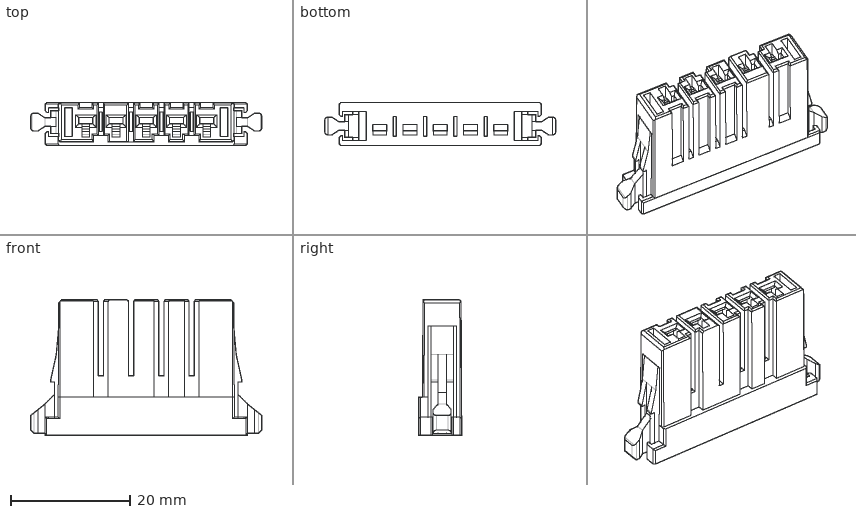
import cadquery as cq

overall_length = 38.77
height = 22.8
back_y = 3.625
front_y = -3.625
draft_angle = 0.3

body_half_length = 14.8
body_front_y = -3.02
base_height = 6.45
corner_chamfer = 0.3
top_chamfer_width = 0.35
top_chamfer_height = 0.25
end_rim_x = 14.2
end_chamfer_height = 0.65

pitch = 5.08
cell_xs = [pitch * i for i in (-2, -1, 0, 1, 2)]
slot_xs = [pitch * i for i in (-1.5, -0.5, 0.5, 1.5)]
slot_width = 0.8
slot_floor = 10.05
slot_hole_width = 0.45
slot_hole_back_y = 2.0
slot_hole_front_y = -1.25

front_groove_xs = [slot_xs[i] for i in (0, 2, 3)]
front_groove_width = 2.45
front_groove_y = -1.9
back_groove_xs = [cell_xs[i] for i in (0, 2, 3, 4)]
back_groove_width = 2.1
back_groove_y = 2.8

hole_width = 2.3
hole_back_y = 1.1
hole_front_y = 0.08
lip_height = 0.43
chamber_back_y = 1.85
funnel_width = 3.4
funnel_back_y = 1.55
funnel_front_y = -0.55
funnel_depth = 0.45
trough_width = 1.3
trough_front_y = -2.17
trough_bands = 5
trough_depth = 2.33
trough_drop = 0.08
trough_slope_drop = 0.15
trough_end_drop = 0.25

latch_y = 0.33
latch_window_width = 4.8
latch_window_top = 18.35
tongue_width = 3.85
latch_slot_outer_x = 13.65
latch_slot_inner_x = 12.45
tongue_knee_x = 15.12
tongue_knee_z = 13.57
tongue_top_x = 14.7
tongue_foot_x = 15.43
barb_x = 16.05
barb_tip_z = 9.3
barb_bottom_z = 8.95

lever_width = 1.47
lever_top_z = 7.17
lever_neck_x = 17.02
lever_neck_z = 5.27
lever_end_x = overall_length / 2
lever_end_z = 3.53
lever_bottom_z = 0.35
head_width = 3.02
head_shoulder_x = 18.2
head_corner = 0.55
head_top_chamfer = 0.2

wing_x = 17.0
wing_height = 3.1
wing_chamfer = 0.27
hook_thickness = 0.62
hook_opening = 3.2
hook_chamfer = 0.3


def box(x_low, x_high, y_low, y_high, z_low, z_high):
    """Block between two corners."""
    block = cq.Workplane("XY").box(x_high - x_low, y_high - y_low, z_high - z_low, centered=False)
    return block.translate((x_low, y_low, z_low))


def centred_box(x, width, y_low, y_high, z_low, z_high):
    """Block of a given width centred on x."""
    return box(x - width / 2, x + width / 2, y_low, y_high, z_low, z_high)


def drafted_block(half_length, y_low, y_high, block_height, chamfer):
    """Upright block with chamfered corners whose walls lean inwards by the draft angle."""
    corner_x = half_length - chamfer
    plan = [
        (-half_length, y_low + chamfer),
        (-corner_x, y_low),
        (corner_x, y_low),
        (half_length, y_low + chamfer),
        (half_length, y_high - chamfer),
        (corner_x, y_high),
        (-corner_x, y_high),
        (-half_length, y_high - chamfer),
    ]
    return cq.Workplane("XY").polyline(plan).close().extrude(block_height, taper=draft_angle)


def profile_along_y(points, width):
    """Extrude an XZ outline along Y, centred on the latch."""
    solid = cq.Workplane("XZ").polyline(points).close().extrude(width / 2, both=True)
    return solid.translate((0, latch_y, 0))


def back_groove_cutter(x, width):
    """Cutter open at the top and back, with a floor that slopes down to the back."""
    drop = back_y - back_groove_y
    points = [
        (back_groove_y, slot_floor),
        (back_y, slot_floor - drop),
        (back_y, height),
        (back_groove_y, height),
    ]
    cutter = cq.Workplane("YZ").polyline(points).close().extrude(width)
    return cutter.translate((x - width / 2, 0, 0))


def make_towers():
    """Upper housing split into five towers, with all top rims chamfered but the front of the second."""
    body = drafted_block(body_half_length, body_front_y, back_y, height, corner_chamfer)
    for x in slot_xs:
        body = body.cut(centred_box(x, slot_width, front_y, back_y, slot_floor, height))
        body = body.cut(back_groove_cutter(x, slot_width))
    for x in front_groove_xs:
        body = body.cut(centred_box(x, front_groove_width, front_y, front_groove_y, base_height, height))
    for x in back_groove_xs:
        body = body.cut(back_groove_cutter(x, back_groove_width))
    pick_margin = 0.4
    plain_rim = cq.selectors.BoxSelector(
        (slot_xs[0], front_y, base_height), (slot_xs[1], body_front_y + pick_margin, height + pick_margin))
    rims = body.faces(">Z").edges(cq.selectors.InverseSelector(plain_rim))
    body = rims.chamfer(top_chamfer_height, top_chamfer_width)
    for side in (-1, 1):
        points = [
            (side * end_rim_x, height),
            (side * body_half_length, height),
            (side * body_half_length, height - end_chamfer_height),
        ]
        body = body.cut(profile_along_y(points, overall_length))
    return body


def make_base():
    """Front step of the base, full length of the housing."""
    base = box(-body_half_length, body_half_length, front_y, 0, 0, base_height)
    return base.edges("|Z and <Y").chamfer(corner_chamfer)


def make_wings():
    """Low plate past both ends, opened up into two hooks around each latch."""
    plate = box(-wing_x, wing_x, front_y, back_y, 0, wing_height)
    plate = plate.edges("|Z").chamfer(wing_chamfer)
    plate = plate.faces(">Z").edges("|X").chamfer(wing_chamfer)
    half_window = latch_window_width / 2
    half_opening = hook_opening / 2
    for side in (-1, 1):
        inner, outer = sorted((side * body_half_length, side * (wing_x - hook_thickness)))
        plate = plate.cut(box(inner, outer, latch_y - half_window, latch_y + half_window, 0, wing_height))
        inner, outer = sorted((side * body_half_length, side * wing_x))
        plate = plate.cut(box(inner, outer, latch_y - half_opening, latch_y + half_opening, 0, wing_height))
    hook_tips = plate.faces("<X or >X").edges(
        cq.selectors.BoxSelector(
            (-overall_length, latch_y - half_window, 0), (overall_length, latch_y + half_window, height)))
    return hook_tips.edges("|Z").chamfer(hook_chamfer)


def make_cavity(x):
    """Cutter for one contact cavity, trough included."""
    mouth_z = height - funnel_depth
    cutter = centred_box(x, hole_width, hole_front_y, hole_back_y, 0, height)
    chamber = centred_box(x, hole_width, hole_back_y, chamber_back_y, 0, mouth_z - lip_height)
    cutter = cutter.union(chamber)
    mouth_y = (funnel_front_y + funnel_back_y) / 2
    hole_y = (hole_front_y + hole_back_y) / 2
    funnel = (
        cq.Workplane("XY").workplane(offset=mouth_z).center(x, hole_y)
        .rect(hole_width, hole_back_y - hole_front_y)
        .workplane(offset=funnel_depth).center(0, mouth_y - hole_y)
        .rect(funnel_width, funnel_back_y - funnel_front_y)
        .loft()
    )
    cutter = cutter.union(funnel)
    return cutter.union(make_trough(x))


def make_trough(x):
    """Cutter for the trough: three shallow steps, then two bands that slope to the front."""
    band = (hole_front_y - trough_front_y) / trough_bands
    floor = height - trough_depth
    low_floor = floor - 2 * trough_drop
    points = [
        (hole_back_y, height),
        (hole_back_y, floor),
        (hole_front_y - band, floor),
        (hole_front_y - band, floor - trough_drop),
        (hole_front_y - 2 * band, floor - trough_drop),
        (hole_front_y - 2 * band, low_floor),
        (hole_front_y - 3 * band, low_floor),
        (hole_front_y - 4 * band, low_floor - trough_slope_drop),
        (trough_front_y, low_floor - trough_end_drop),
        (trough_front_y, height),
    ]
    cutter = cq.Workplane("YZ").polyline(points).close().extrude(trough_width)
    return cutter.translate((x - trough_width / 2, 0, 0))


def make_latch():
    """Tongue, barbs and release lever for the +X end."""
    tongue = profile_along_y(
        [
            (latch_slot_outer_x, 0),
            (tongue_foot_x, 0),
            (tongue_foot_x, barb_bottom_z),
            (tongue_knee_x, tongue_knee_z),
            (tongue_top_x, latch_window_top),
            (latch_slot_outer_x, latch_window_top),
        ],
        tongue_width,
    )
    barb_points = [
        (latch_slot_outer_x, barb_bottom_z),
        (barb_x, barb_bottom_z),
        (barb_x, barb_tip_z),
        (tongue_knee_x, tongue_knee_z),
        (latch_slot_outer_x, tongue_knee_z),
    ]
    barbs = profile_along_y(barb_points, tongue_width).cut(profile_along_y(barb_points, lever_width))
    lever = profile_along_y(
        [
            (latch_slot_outer_x, lever_bottom_z),
            (lever_neck_x, lever_bottom_z),
            (lever_neck_x, lever_neck_z),
            (tongue_knee_x, lever_top_z),
            (latch_slot_outer_x, lever_top_z),
        ],
        lever_width,
    )
    tongue = tongue.cut(make_tongue_relief())
    return tongue.union(barbs).union(lever).union(make_lever_head())


def make_tongue_relief():
    """Cutter for the shallow channel between the barbs, from the knee down to the lever."""
    return profile_along_y(
        [
            (tongue_knee_x, lever_neck_z),
            (barb_x, lever_neck_z),
            (barb_x, tongue_knee_z),
            (tongue_knee_x, tongue_knee_z),
        ],
        lever_width,
    )


def make_lever_head():
    """Finger pad that widens from the lever, slopes down and has a rounded end."""
    pad = profile_along_y(
        [
            (lever_neck_x, lever_bottom_z),
            (lever_end_x - head_corner, lever_bottom_z),
            (lever_end_x, lever_bottom_z + head_corner),
            (lever_end_x, lever_end_z - head_top_chamfer),
            (lever_end_x - head_top_chamfer, lever_end_z),
            (lever_neck_x, lever_neck_z),
        ],
        head_width,
    )
    plan = (
        cq.Workplane("XY")
        .moveTo(lever_neck_x, -lever_width / 2)
        .lineTo(head_shoulder_x, -head_width / 2)
        .lineTo(lever_end_x, -head_width / 2)
        .lineTo(lever_end_x, head_width / 2)
        .lineTo(head_shoulder_x, head_width / 2)
        .lineTo(lever_neck_x, lever_width / 2)
        .close()
        .extrude(lever_neck_z)
        .translate((0, latch_y, 0))
    )
    pad = pad.intersect(plan)
    return pad.edges("|Z and >X").fillet(head_corner)


def cut_latch_windows(housing):
    """Slots through the housing behind the latches and the windows that free them."""
    low_y = latch_y - latch_window_width / 2
    high_y = latch_y + latch_window_width / 2
    for side in (-1, 1):
        inner, outer = sorted((side * latch_slot_inner_x, side * latch_slot_outer_x))
        housing = housing.cut(box(inner, outer, low_y, high_y, 0, height))
        inner, outer = sorted((side * latch_slot_inner_x, side * body_half_length))
        housing = housing.cut(box(inner, outer, low_y, high_y, 0, latch_window_top))
    return housing


result = make_towers().union(make_base()).union(make_wings())
result = cut_latch_windows(result)
for cell_x in cell_xs:
    result = result.cut(make_cavity(cell_x))
for slot_x in slot_xs:
    result = result.cut(
        centred_box(slot_x, slot_hole_width, slot_hole_front_y, slot_hole_back_y, 0, slot_floor))
latch = make_latch()
result = result.union(latch).union(latch.mirror("YZ"))